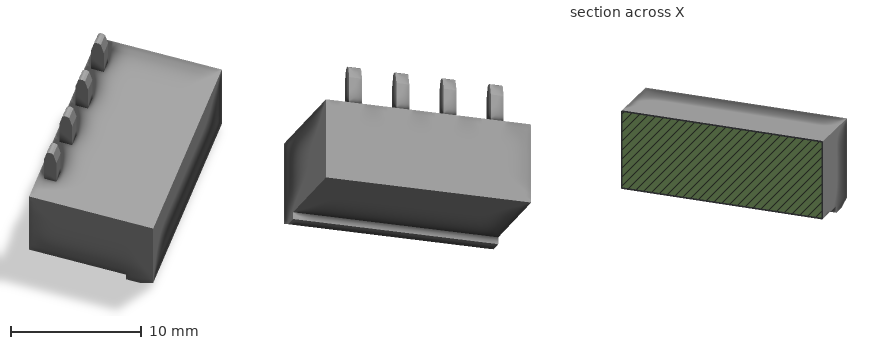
import cadquery as cq

body_depth = 10.0
body_length = 16.56
body_height = 6.4

lip_width = 2.2
lip_drop = 0.56
lip_flat = 1.15
lip_outer_drop = 0.14

pin_count = 4
pin_pitch = 3.81
pin_thickness = 1.02
pin_width = 1.04
pin_inset = 0.5
overall_height = 10.21
pin_height = overall_height - body_height - lip_drop

tip_length = 1.0
taper_run = 0.25
bevel_run = 0.16
bevel_drop = 0.1


def make_housing():
    """Extrude the housing section, lip included, along the full length."""
    lip_start = body_depth - lip_width
    section = [
        (0, 0),
        (lip_start, 0),
        (lip_start, -lip_drop),
        (lip_start + lip_flat, -lip_drop),
        (body_depth, -lip_outer_drop),
        (body_depth, body_height),
        (0, body_height),
    ]
    return (
        cq.Workplane("XZ")
        .polyline(section)
        .close()
        .extrude(body_length / 2, both=True)
    )


def make_pin(center_y):
    """Make one pointed pin standing on the housing top, centered at center_y."""
    half_thickness = pin_thickness / 2
    bevel_x = half_thickness - taper_run
    flat_x = bevel_x - bevel_run
    right_side = [
        (half_thickness, 0),
        (half_thickness, pin_height - tip_length),
        (bevel_x, pin_height - bevel_drop),
        (flat_x, pin_height),
    ]
    left_side = [(-x, z) for x, z in reversed(right_side)]
    return (
        cq.Workplane("XZ", origin=(pin_inset + half_thickness, center_y, body_height))
        .polyline(right_side + left_side)
        .close()
        .extrude(pin_width / 2, both=True)
    )


result = make_housing()
first_pin_y = -(pin_count - 1) * pin_pitch / 2
for index in range(pin_count):
    result = result.union(make_pin(first_pin_y + index * pin_pitch))